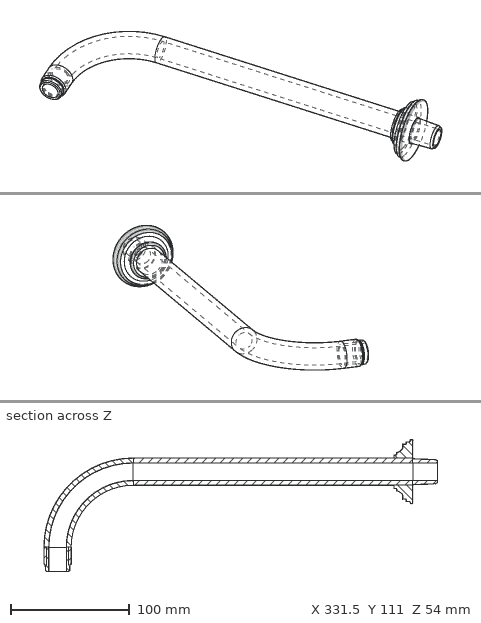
import cadquery as cq


overall_y = 111.0
flange_diameter = 54.0

tube_radius = 11.5
bore_radius = 7.3
bend_radius = 63.5
outlet_x = -299.0
arm_start_x = outlet_x + bend_radius
outlet_length = 15.2
outlet_edge_chamfer = 1.3

tip_collar_radius = 10.5
tip_collar_step = 0.3
tip_radius = tip_collar_radius - tip_collar_step
tip_collar_length = 0.5
tip_chamfer_length = 1.0
tip_chamfer_depth = 1.0
tip_start_y = -bend_radius - outlet_length
sleeve_radius = 9.0
tip_end_y = flange_diameter / 2 - overall_y

nipple_length = 21.0
nipple_base_length = 1.3
nipple_base_radius = 11.0
nipple_end_radius = 10.3
nipple_chamfer_length = 2.0
nipple_chamfer_depth = 1.0

flange_length = 16.0
rim_radius = flange_diameter / 2
lip_radius = 14.3
collar_radius = 16.2
collar_x = -13.5
cove_start_x = -13.0
cove_end_radius = 20.0
cove_sag = 0.4
inner_ring_radius = 23.2
inner_ring_x = -8.5
outer_ring_radius = 25.2
outer_ring_x = -5.5
rim_x = -2.3
rim_round = 0.5
step_fillet = 1.0


def make_arm():
    """Straight tube from the elbow to the back of the flange."""
    profile = cq.Workplane("YZ", origin=(arm_start_x, 0, 0)).circle(tube_radius).circle(bore_radius)
    return profile.extrude(-arm_start_x)


def make_elbow():
    """Quarter bend that turns the tube from X to -Y."""
    profile = cq.Workplane("YZ", origin=(arm_start_x, 0, 0)).circle(tube_radius).circle(bore_radius)
    return profile.revolve(90, (-bend_radius, 0, 0), (-bend_radius, 1, 0))


def make_outlet():
    """Short straight tube after the elbow, chamfered at its open end."""
    profile = cq.Workplane("XZ", origin=(outlet_x, -bend_radius, 0)).circle(tube_radius)
    outlet = profile.extrude(outlet_length).faces("<Y").chamfer(outlet_edge_chamfer)
    return outlet.faces("<Y").workplane().circle(sleeve_radius).cutThruAll()


def make_tip():
    """Collared ring with a chamfered free end, on a sleeve that lines the outlet."""
    profile = (
        cq.Workplane("XY")
        .moveTo(outlet_x + bore_radius, -bend_radius)
        .lineTo(outlet_x + sleeve_radius, -bend_radius)
        .lineTo(outlet_x + sleeve_radius, tip_start_y)
        .lineTo(outlet_x + tip_collar_radius, tip_start_y)
        .lineTo(outlet_x + tip_collar_radius, tip_start_y - tip_collar_length)
        .lineTo(outlet_x + tip_radius, tip_start_y - tip_collar_length - tip_collar_step)
        .lineTo(outlet_x + tip_radius, tip_end_y + tip_chamfer_length)
        .lineTo(outlet_x + tip_radius - tip_chamfer_depth, tip_end_y)
        .lineTo(outlet_x + bore_radius, tip_end_y)
        .close()
    )
    return profile.revolve(360, (outlet_x, 0, 0), (outlet_x, 1, 0))


def make_nipple():
    """Tapered tube behind the flange with a chamfered end."""
    profile = (
        cq.Workplane("XY")
        .moveTo(0, bore_radius)
        .lineTo(0, nipple_base_radius)
        .lineTo(nipple_base_length, nipple_base_radius)
        .lineTo(nipple_length - nipple_chamfer_length, nipple_end_radius)
        .lineTo(nipple_length, nipple_end_radius - nipple_chamfer_depth)
        .lineTo(nipple_length, bore_radius)
        .close()
    )
    return profile.revolve(360, (0, 0, 0), (1, 0, 0))


def make_flange():
    """Stepped flange around the arm, with a concave cove between its collar and rings."""
    cove_start = cq.Vector(cove_start_x, collar_radius)
    cove_end = cq.Vector(inner_ring_x, cove_end_radius)
    chord = cove_end - cove_start
    into_flange = cq.Vector(chord.y, -chord.x).normalized()
    cove_middle = (cove_start + cove_end) * 0.5 + into_flange * cove_sag
    profile = (
        cq.Workplane("XY")
        .moveTo(-flange_length, tube_radius)
        .lineTo(-flange_length, lip_radius)
        .lineTo(collar_x - step_fillet, lip_radius)
        .radiusArc((collar_x, lip_radius + step_fillet), -step_fillet)
        .lineTo(collar_x, collar_radius)
        .lineTo(cove_start_x, collar_radius)
        .threePointArc(cove_middle.toTuple()[:2], cove_end.toTuple()[:2])
        .lineTo(inner_ring_x, inner_ring_radius)
        .lineTo(outer_ring_x - step_fillet, inner_ring_radius)
        .radiusArc((outer_ring_x, inner_ring_radius + step_fillet), -step_fillet)
        .lineTo(outer_ring_x, outer_ring_radius)
        .lineTo(rim_x - step_fillet, outer_ring_radius)
        .radiusArc((rim_x, outer_ring_radius + step_fillet), -step_fillet)
        .lineTo(rim_x, rim_radius - rim_round)
        .radiusArc((rim_x + rim_round, rim_radius), rim_round)
        .lineTo(-rim_round, rim_radius)
        .radiusArc((0, rim_radius - rim_round), rim_round)
        .lineTo(0, tube_radius)
        .close()
    )
    return profile.revolve(360, (0, 0, 0), (1, 0, 0))


arm = make_arm()
elbow = make_elbow()
outlet = make_outlet()
tip = make_tip()
nipple = make_nipple()
flange = make_flange()

result = cq.Compound.makeCompound(
    [arm.val(), elbow.val(), outlet.val(), tip.val(), nipple.val(), flange.val()]
)